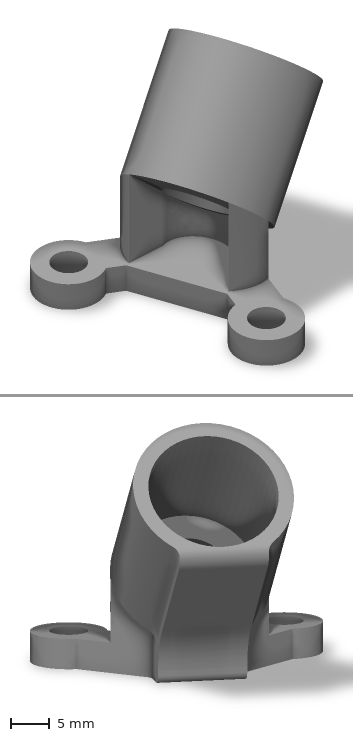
import cadquery as cq
import math

tube_diameter = 21.0
bore_diameter = 17.0
tube_length = 19.98
tube_tilt = 45
floor_thickness = 1.0
drain_diameter = 10.0

lug_spacing = 28.5
lug_diameter = 10.0
lug_hole_diameter = 5.0
base_thickness = 4.0
base_front_y = 2.65
base_front_half_width = 7.27
arm_angle = 40

floor_center_y = 8.65
floor_center_z = 12.55
leg_front_y = 3.27

cavity_front_half_width = 7.15
cavity_half_width = drain_diameter / 2
cavity_depth = 4.27

rib_width = 11.78
rib_leg_fillet = 1.0
rib_tube_fillet = 2.0
rib_heel_fillet = 8.0
rib_end_fillet = 2.0
rib_bottom_fillet = 1.0

tube_radius = tube_diameter / 2
lug_x = lug_spacing / 2
lug_radius = lug_diameter / 2
rib_half_width = rib_width / 2
tilt = math.radians(tube_tilt)
arm_slope = math.tan(math.radians(arm_angle))
foreshortened_radius = tube_radius * math.cos(tilt)
rib_back_y = floor_center_y + foreshortened_radius
rib_heel_z = floor_center_z - tube_radius * math.sin(tilt)
rib_end_y = rib_back_y + tube_length * math.sin(tilt)
rib_end_z = rib_heel_z + tube_length * math.cos(tilt)
arm_back_y = lug_radius + (lug_x - rib_half_width) * arm_slope

tube_plane = cq.Plane(
    origin=(0, floor_center_y, floor_center_z),
    xDir=(1, 0, 0),
    normal=(0, math.sin(tilt), math.cos(tilt)),
)


def make_web(height):
    """Plan shape of the arms and the middle of the base, without the lugs."""
    lug_side_y = base_front_y - (lug_x - base_front_half_width) * arm_slope
    right_side = [
        (base_front_half_width, base_front_y),
        (lug_x, lug_side_y),
        (lug_x, lug_radius),
        (rib_half_width, arm_back_y),
    ]
    left_side = [(-x, y) for x, y in reversed(right_side)]
    return cq.Workplane("XY").polyline(right_side + left_side).close().extrude(height)


def make_base():
    lug_centers = [(-lug_x, 0), (lug_x, 0)]
    lugs = cq.Workplane("XY").pushPoints(lug_centers).circle(lug_radius).extrude(base_thickness)
    hole_radius = lug_hole_diameter / 2
    holes = cq.Workplane("XY").pushPoints(lug_centers).circle(hole_radius).extrude(base_thickness)
    return make_web(base_thickness).union(lugs).cut(holes)


def make_leg():
    """Vertical column under the tube floor, following the floor outline in plan."""
    height = floor_center_z + tube_radius
    column = (
        cq.Workplane("XY")
        .center(0, floor_center_y)
        .ellipse(tube_radius, foreshortened_radius)
        .extrude(height)
    )
    front_trim = cq.Workplane("XY").box(
        tube_diameter, leg_front_y, height, centered=(True, False, False)
    )
    above_floor = cq.Workplane(tube_plane).rect(2 * tube_diameter, 2 * tube_diameter).extrude(tube_length)
    return column.intersect(make_web(height)).cut(front_trim).cut(above_floor)


def make_tube():
    return cq.Workplane(tube_plane).circle(tube_radius).extrude(tube_length)


def make_rib():
    """Central rib up the back of the leg and along the underside of the tube."""
    tube_end_y = floor_center_y + tube_length * math.sin(tilt)
    tube_end_z = floor_center_z + tube_length * math.cos(tilt)
    profile = [
        (floor_center_y, 0),
        (rib_back_y, 0),
        (rib_back_y, rib_heel_z),
        (rib_end_y, rib_end_z),
        (tube_end_y, tube_end_z),
        (floor_center_y, floor_center_z),
    ]
    return cq.Workplane("YZ").polyline(profile).close().extrude(rib_half_width, both=True)


def make_cavity():
    """Open-fronted pocket in the leg, tapering back to a rounded end."""
    pocket = (
        cq.Workplane("XY", origin=(0, 0, base_thickness))
        .moveTo(-cavity_front_half_width, leg_front_y)
        .lineTo(-cavity_half_width, floor_center_y)
        .ellipseArc(cavity_half_width, cavity_depth, 0, 180, sense=-1, startAtCurrent=True)
        .lineTo(cavity_front_half_width, leg_front_y)
        .close()
        .extrude(floor_center_z + tube_radius)
    )
    return pocket.cut(make_tube())


def edge_at(y, z):
    """Selector for the edge across the rib at the given place."""
    return cq.selectors.NearestToPointSelector((0, y, z))


def fillet_rib_sides(solid, joints, radius):
    """Fillet the edges lying on both rib sides near the given (y, z) places."""
    points = [(side * rib_half_width, y, z) for side in (-1, 1) for y, z in joints]
    edges = [solid.edges(cq.selectors.NearestToPointSelector(point)).val() for point in points]
    return solid.newObject(edges).fillet(radius)


rib = make_rib()
rib = rib.edges(edge_at(rib_back_y, rib_heel_z)).fillet(rib_heel_fillet)
rib = rib.edges(edge_at(rib_back_y, 0)).fillet(rib_bottom_fillet)

body = make_leg().union(make_tube()).union(make_base()).union(rib)

chord_depth = math.sqrt(tube_radius**2 - rib_half_width**2) * math.cos(tilt)
wall_y = floor_center_y + chord_depth
wall_z = floor_center_z - chord_depth
arm_meets_floor_z = floor_center_z + floor_center_y - arm_back_y
half_tube_run = tube_length / 2 * math.sin(tilt)
leg_joint = (arm_back_y, arm_meets_floor_z / 2)
floor_joint = ((arm_back_y + wall_y) / 2, (arm_meets_floor_z + wall_z) / 2)
tube_joint = (wall_y + half_tube_run, wall_z + half_tube_run)
body = fillet_rib_sides(body, [leg_joint, floor_joint], rib_leg_fillet)
body = fillet_rib_sides(body, [tube_joint], rib_tube_fillet)

body = body.edges(edge_at(rib_end_y, rib_end_z)).fillet(rib_end_fillet)

bore_start = cq.Workplane(tube_plane).workplane(offset=floor_thickness)
bore = bore_start.circle(bore_diameter / 2).extrude(tube_length)
drain = cq.Workplane(tube_plane).circle(drain_diameter / 2).extrude(floor_thickness)
result = body.cut(bore).cut(drain).cut(make_cavity())